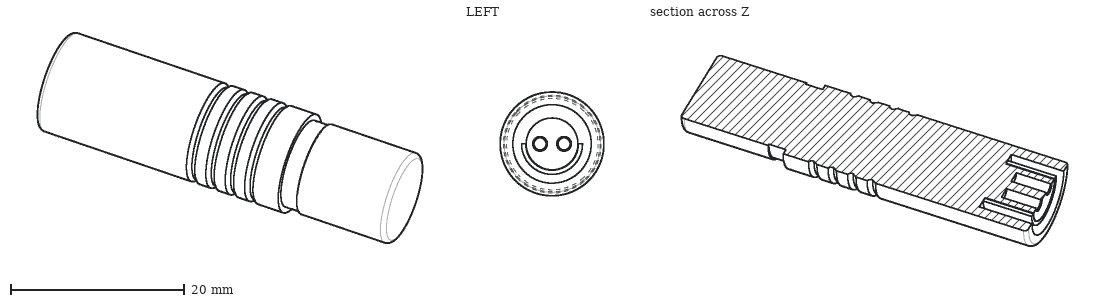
import cadquery as cq

total_length = 44.0
body_radius = 6.005
body_length = 30.75
neck_radius = 5.3
rear_start = 32.85
rear_radius = 5.5
front_round = 0.45
rear_round = 0.55

groove_count = 4
groove_start = 19.1
groove_pitch = 2.45
groove_width = 1.05
groove_depth = 0.35
groove_flank = 0.55
groove_back = groove_width - groove_flank
groove_back_radius = (groove_back**2 + groove_depth**2) / (2 * groove_depth)

bore_radius = 4.55
bore_depth = 6.6
core_radius = 3.0
core_recess = 0.5
key_radius = 3.5
key_gap = 0.05

contact_spacing = 2.75
contact_radius = 0.7
contact_mouth_radius = 0.85
contact_mouth_depth = contact_mouth_radius - contact_radius
contact_depth = 4.4


def cylinder(start, end, radius):
    """Solid cylinder on the X axis between two X positions."""
    return cq.Workplane("YZ", origin=(start, 0, 0)).circle(radius).extrude(end - start)


def make_shell():
    body = cylinder(0, body_length, body_radius).faces("<X").edges().fillet(front_round)
    neck = cylinder(body_length, rear_start, neck_radius)
    rear = cylinder(rear_start, total_length, rear_radius).faces(">X").edges().fillet(rear_round)
    return body.union(neck).union(rear)


def make_groove(start):
    """Ring-shaped cutter for one grip groove."""
    floor_radius = body_radius - groove_depth
    clear_radius = body_radius + groove_depth
    end = start + groove_width
    return (
        cq.Workplane("XY")
        .moveTo(start, clear_radius)
        .lineTo(start, body_radius)
        .lineTo(start + groove_flank, floor_radius)
        .radiusArc((end, body_radius), -groove_back_radius)
        .lineTo(end, clear_radius)
        .close()
        .revolve(360, (0, 0, 0), (1, 0, 0))
    )


def make_core():
    core = cylinder(core_recess, bore_depth, core_radius)
    key = cylinder(core_recess, bore_depth, key_radius).cut(
        cylinder(core_recess, bore_depth, core_radius + key_gap)
    )
    lower_half = cq.Workplane("XY").box(
        bore_depth, 2 * key_radius, key_radius, centered=(False, True, False)
    ).translate((0, 0, -key_radius))
    return core.union(key.intersect(lower_half))


def make_contact_hole(y):
    """Cutter for one contact hole, flared at its mouth."""
    hole = cylinder(core_recess, core_recess + contact_depth, contact_radius)
    mouth = (
        cq.Workplane("YZ", origin=(core_recess, 0, 0))
        .circle(contact_mouth_radius)
        .workplane(offset=contact_mouth_depth)
        .circle(contact_radius)
        .loft()
    )
    return hole.union(mouth).translate((0, y, 0))


result = make_shell()
for index in range(groove_count):
    result = result.cut(make_groove(groove_start + index * groove_pitch))
result = result.cut(cylinder(0, bore_depth, bore_radius))
result = result.union(make_core())
for side in (-1, 1):
    result = result.cut(make_contact_hole(side * contact_spacing / 2))